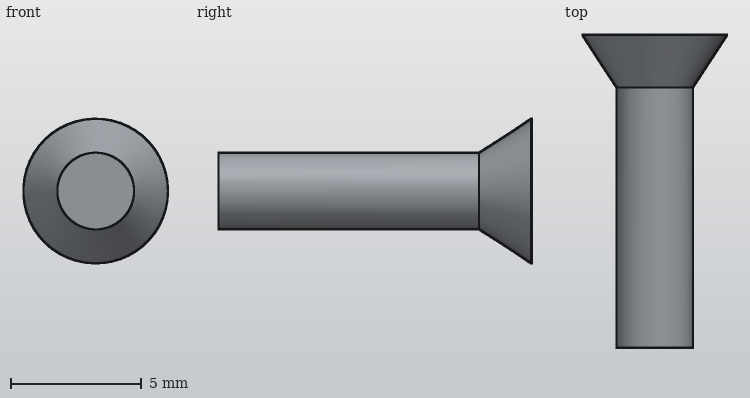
import cadquery as cq

total_length = 12.0
shank_diameter = 2.94
head_diameter = 5.55
head_height = 2.03
rim_thickness = 0.04

shank_radius = shank_diameter / 2
head_radius = head_diameter / 2

half_profile = (
    cq.Workplane("XY")
    .moveTo(0, -total_length)
    .lineTo(shank_radius, -total_length)
    .lineTo(shank_radius, -head_height)
    .lineTo(head_radius, -rim_thickness)
    .lineTo(head_radius, 0)
    .lineTo(0, 0)
    .close()
)

result = half_profile.revolve(360, (0, 0, 0), (0, 1, 0))